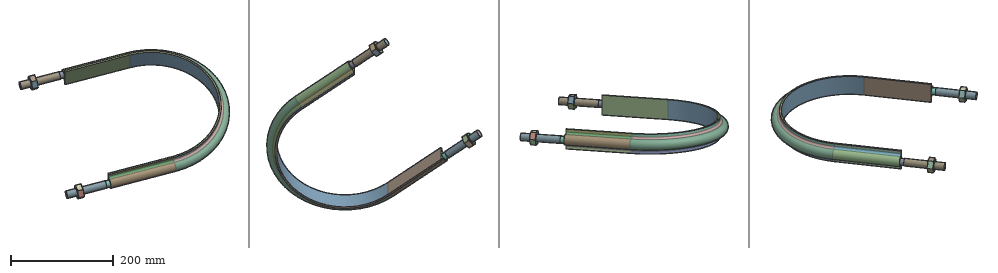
import cadquery as cq
import math

bend_radius = 143.0
sleeve_crown_height = 9.8
outer_radius = bend_radius + sleeve_crown_height
overall_length = 375.0
rod_end_y = outer_radius - overall_length

strip_width = 40.0
strip_thickness = 3.8
strip_face_radius = 136.5
strip_inner_radius = strip_face_radius - strip_thickness
sleeve_radius = 10.5
sleeve_fillet = 4.0
liner_end_y = rod_end_y + 89.0

rod_diameter = 14.3
thread_diameter = 15.5
thread_length = 80.5
thread_start_y = rod_end_y + thread_length

nut_across_flats = 26.0
nut_across_corners = nut_across_flats / math.cos(math.pi / 6)
nut_thickness = 12.0
nut_outer_y = rod_end_y + 20.3
nut_chamfer_face_diameter = 24.8
nut_chamfer_angle = math.radians(30)


def u_path(end_y):
    """Centreline of the U with both legs ending at end_y."""
    return (
        cq.Workplane("XY")
        .moveTo(-bend_radius, end_y)
        .lineTo(-bend_radius, 0)
        .threePointArc((0, bend_radius), (bend_radius, 0))
        .lineTo(bend_radius, end_y)
    )


def leg_plane(x, y):
    """Plane across a leg: local x is +X, local y is +Z, normal is -Y."""
    return cq.Plane(origin=(x, y, 0), xDir=(1, 0, 0), normal=(0, -1, 0))


def cylinder(x, start_y, length, diameter):
    """Cylinder that runs from start_y toward -Y."""
    return cq.Workplane(leg_plane(x, start_y)).circle(diameter / 2).extrude(length)


def make_rod():
    rod = (
        cq.Workplane(leg_plane(-bend_radius, thread_start_y))
        .circle(rod_diameter / 2)
        .sweep(u_path(thread_start_y))
    )
    for x in (-bend_radius, bend_radius):
        rod = rod.union(cylinder(x, thread_start_y, thread_length, thread_diameter))
    return rod


def make_liner():
    inner_x = -strip_inner_radius
    face_x = -strip_face_radius
    crown_x = -outer_radius
    half_width = strip_width / 2

    round_x = crown_x + sleeve_radius
    fillet_x = face_x - sleeve_fillet
    center_distance = sleeve_radius + sleeve_fillet
    foot_z = math.sqrt(center_distance**2 - (fillet_x - round_x) ** 2)
    tangent_angle = math.atan2(foot_z, fillet_x - round_x)
    tangent_x = round_x + sleeve_radius * math.cos(tangent_angle)
    tangent_z = sleeve_radius * math.sin(tangent_angle)
    fillet_mid_angle = (tangent_angle - math.pi) / 2
    fillet_mid_x = fillet_x + sleeve_fillet * math.cos(fillet_mid_angle)
    fillet_mid_z = foot_z + sleeve_fillet * math.sin(fillet_mid_angle)

    section = (
        cq.Workplane(leg_plane(0, liner_end_y))
        .moveTo(inner_x, -half_width)
        .lineTo(inner_x, half_width)
        .lineTo(face_x, half_width)
        .lineTo(face_x, foot_z)
        .threePointArc((fillet_mid_x, fillet_mid_z), (tangent_x, tangent_z))
        .threePointArc((crown_x, 0), (tangent_x, -tangent_z))
        .threePointArc((fillet_mid_x, -fillet_mid_z), (face_x, -foot_z))
        .lineTo(face_x, -half_width)
        .close()
    )
    bore = (
        cq.Workplane(leg_plane(-bend_radius, liner_end_y))
        .circle(rod_diameter / 2)
        .sweep(u_path(liner_end_y))
    )
    return section.sweep(u_path(liner_end_y)).cut(bore)


def make_nut(x):
    nut_inner_y = nut_outer_y + nut_thickness
    nut = (
        cq.Workplane(leg_plane(x, nut_inner_y))
        .polygon(6, nut_across_corners)
        .extrude(nut_thickness)
    )
    face_radius = nut_chamfer_face_diameter / 2
    cone_radius = face_radius + nut_thickness / math.tan(nut_chamfer_angle)
    cone = (
        cq.Workplane("XY")
        .moveTo(x, nut_outer_y)
        .lineTo(x + face_radius, nut_outer_y)
        .lineTo(x + cone_radius, nut_inner_y)
        .lineTo(x, nut_inner_y)
        .close()
        .revolve(360, (x, 0, 0), (x, 1, 0))
    )
    return nut.intersect(cone).cut(cylinder(x, nut_inner_y, nut_thickness, thread_diameter))


rod = make_rod()
liner = make_liner()
nuts = [make_nut(x) for x in (-bend_radius, bend_radius)]

result = cq.Compound.makeCompound([rod.val(), liner.val(), *[nut.val() for nut in nuts]])